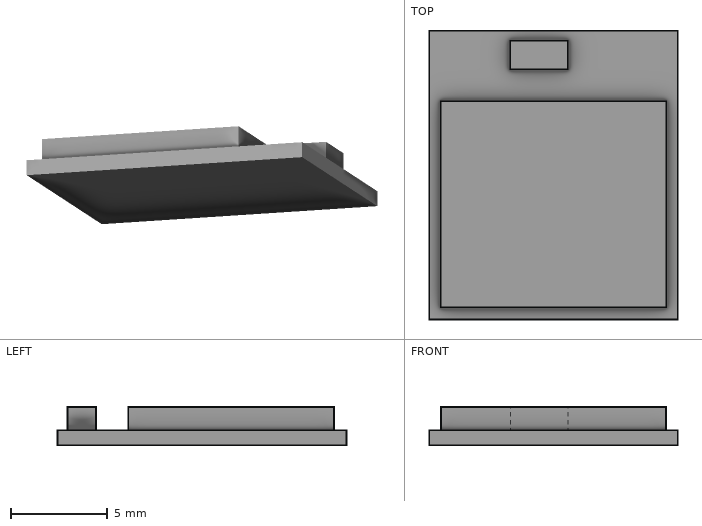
import cadquery as cq

board_width = 12.9
board_length = 15.0
board_thickness = 0.8

component_height = 1.2

can_side_margin = 0.6
can_front_margin = 0.65
can_length = 10.7
can_width = board_width - 2 * can_side_margin

chip_width = 3.0
chip_length = 1.5
chip_left_margin = 4.2
chip_back_margin = 0.51
chip_front_margin = board_length - chip_back_margin - chip_length


def component(width, length, left_margin, front_margin):
    """Block on the board top, placed from the board's left and front edges."""
    return (
        cq.Workplane("XY")
        .box(width, length, component_height, centered=False)
        .translate((left_margin, front_margin, board_thickness))
    )


board = cq.Workplane("XY").box(board_width, board_length, board_thickness, centered=False)
shield_can = component(can_width, can_length, can_side_margin, can_front_margin)
chip = component(chip_width, chip_length, chip_left_margin, chip_front_margin)

result = board.union(shield_can).union(chip)